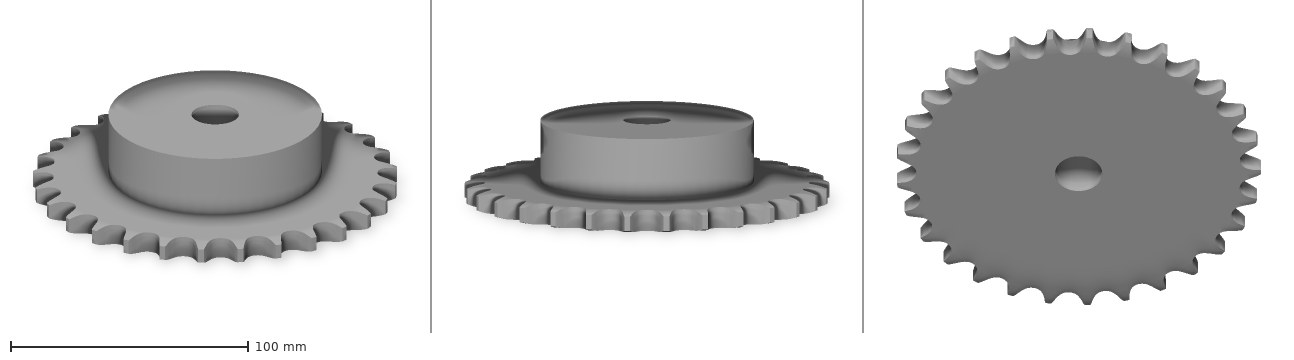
import cadquery as cq
import math


overall_width = 153.7
total_height = 35.0
plate_thickness = 8.9
hub_diameter = 90.0
bore_diameter = 20.0

tooth_count = 29
chain_pitch = 15.87
seat_radius = 5.0
seat_angle = math.radians(37)
working_radius = 13.2
working_sweep = math.radians(16)
flank_length = 1.4
tip_width = 2.5

relief_start_radius = 69.8
relief_depth = 1.4

tooth_angle = 2 * math.pi / tooth_count
pitch_radius = chain_pitch / (2 * math.sin(tooth_angle / 2))
tip_half_angle = tip_width / overall_width
tip_radius = overall_width / 2 / math.cos(tooth_angle / 4 - tip_half_angle)


def offset(point, distance, angle):
    """Point reached by moving a distance from a point in the direction of an angle."""
    x, y = point
    return (x + distance * math.cos(angle), y + distance * math.sin(angle))


def rotate(point, angle):
    radius = math.hypot(*point)
    return offset((0, 0), radius, math.atan2(point[1], point[0]) + angle)


def mirror(point):
    return (point[0], -point[1])


def tangent_arc_middle(start, heading, end):
    """Middle point of the arc that leaves start along heading and arrives at end."""
    dx = end[0] - start[0]
    dy = end[1] - start[1]
    half_turn = math.atan2(dy, dx) - heading
    half_chord = math.hypot(dx, dy) / 2
    return offset(start, half_chord / math.cos(half_turn / 2), heading + half_turn / 2)


def tooth_outline():
    """Closed outline of all the teeth, with a gap centred on +Y and a tooth on -Y."""
    seat_center = (pitch_radius, 0)
    seat_bottom = (pitch_radius - seat_radius, 0)
    seat_end_direction = math.pi / 2 + seat_angle
    seat_end = offset(seat_center, seat_radius, seat_end_direction)

    flank_heading = seat_angle - working_sweep
    working_center = offset(seat_end, -working_radius, seat_end_direction)
    working_middle = offset(working_center, working_radius, seat_end_direction - working_sweep / 2)
    working_end = offset(working_center, working_radius, seat_end_direction - working_sweep)

    flank_end = offset(working_end, flank_length, flank_heading)
    tip_start = offset((0, 0), tip_radius, tooth_angle / 2 - tip_half_angle)
    topping_middle = tangent_arc_middle(flank_end, flank_heading, tip_start)

    tip_middle = offset((0, 0), tip_radius, tooth_angle / 2)
    tip_end = offset((0, 0), tip_radius, tooth_angle / 2 + tip_half_angle)

    steps = [
        (mirror(topping_middle), mirror(flank_end)),
        (None, mirror(working_end)),
        (mirror(working_middle), mirror(seat_end)),
        (seat_bottom, seat_end),
        (working_middle, working_end),
        (None, flank_end),
        (topping_middle, tip_start),
        (tip_middle, tip_end),
    ]
    first_turn = math.pi / 2
    outline = cq.Workplane("XY").moveTo(*rotate(mirror(tip_start), first_turn))
    for gap in range(tooth_count):
        turn = first_turn + gap * tooth_angle
        for middle, end in steps:
            if middle is None:
                outline = outline.lineTo(*rotate(end, turn))
            else:
                outline = outline.threePointArc(rotate(middle, turn), rotate(end, turn))
    return outline.close()


def relieved_disc():
    """Disc whose flat faces curve smoothly inward from the relief circle to the rim."""
    relief_start = (relief_start_radius, 0)
    rim = (tip_radius, relief_depth)
    relief_middle = tangent_arc_middle(relief_start, 0, rim)

    def on_top(point):
        return (point[0], plate_thickness - point[1])

    return (
        cq.Workplane("XZ")
        .lineTo(*relief_start)
        .threePointArc(relief_middle, rim)
        .lineTo(*on_top(rim))
        .threePointArc(on_top(relief_middle), on_top(relief_start))
        .lineTo(0, plate_thickness)
        .close()
        .revolve(360, (0, 0, 0), (0, 1, 0))
    )


def make_plate():
    return tooth_outline().extrude(plate_thickness).intersect(relieved_disc())


def make_cylinder(diameter):
    return cq.Workplane("XY").circle(diameter / 2).extrude(total_height)


hub = make_cylinder(hub_diameter)
bore = make_cylinder(bore_diameter)
result = make_plate().union(hub).cut(bore)